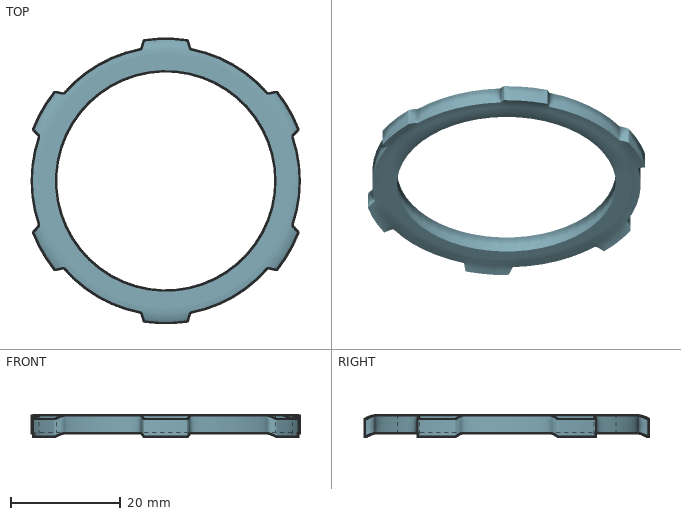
import cadquery as cq
import math

bore_diameter = 40.0
ring_radius = 24.5
tab_radius = 26.0
flat_radius = 23.33
total_height = 4.05
wall_height = 3.25
tab_count = 6
tab_tip_width = 8.0
tab_flank_angle = 17.0
corner_radius = 0.3

droop = total_height - wall_height
rim_run = tab_radius - flat_radius
rim_arc_radius = (rim_run**2 + droop**2) / (2 * droop)


def droop_at(radius):
    """Drop of the rim arc below the flat face at a given radius."""
    run = radius - flat_radius
    return rim_arc_radius - math.sqrt(rim_arc_radius**2 - run**2)


def make_drooped_ring():
    """Full ring out to the tab radius, with parallel drooping rim faces."""
    bore_radius = bore_diameter / 2
    rim_middle = (flat_radius + tab_radius) / 2
    middle_droop = droop_at(rim_middle)
    return (
        cq.Workplane("XZ")
        .moveTo(bore_radius, droop)
        .lineTo(flat_radius, droop)
        .threePointArc((rim_middle, droop - middle_droop), (tab_radius, 0))
        .lineTo(tab_radius, wall_height)
        .threePointArc((rim_middle, total_height - middle_droop), (flat_radius, total_height))
        .lineTo(bore_radius, total_height)
        .close()
        .revolve(360, (0, 0, 0), (0, 1, 0))
    )


def make_tab(angle):
    """Prism of one tapered tab, turned from the +Y axis by an angle in degrees."""
    tip_half_width = tab_tip_width / 2
    tip_y = math.sqrt(tab_radius**2 - tip_half_width**2)
    root_y = flat_radius
    root_half_width = tip_half_width + (tip_y - root_y) * math.tan(math.radians(tab_flank_angle))
    return (
        cq.Workplane("XY")
        .moveTo(-root_half_width, root_y)
        .lineTo(-tip_half_width, tip_y)
        .threePointArc((0, tab_radius), (tip_half_width, tip_y))
        .lineTo(root_half_width, root_y)
        .lineTo(0, 0)
        .close()
        .extrude(total_height)
        .rotate((0, 0, 0), (0, 0, 1), angle)
    )


def make_outline():
    """Prism of the plan outline: a disc with evenly spaced, rounded tabs."""
    outline = (
        cq.Workplane("XY")
        .circle(ring_radius)
        .extrude(total_height)
        .rotate((0, 0, 0), (0, 0, 1), 90)
    )
    for index in range(tab_count):
        outline = outline.union(make_tab(index * 360 / tab_count))
    return outline.edges("|Z").fillet(corner_radius)


result = make_drooped_ring().intersect(make_outline())